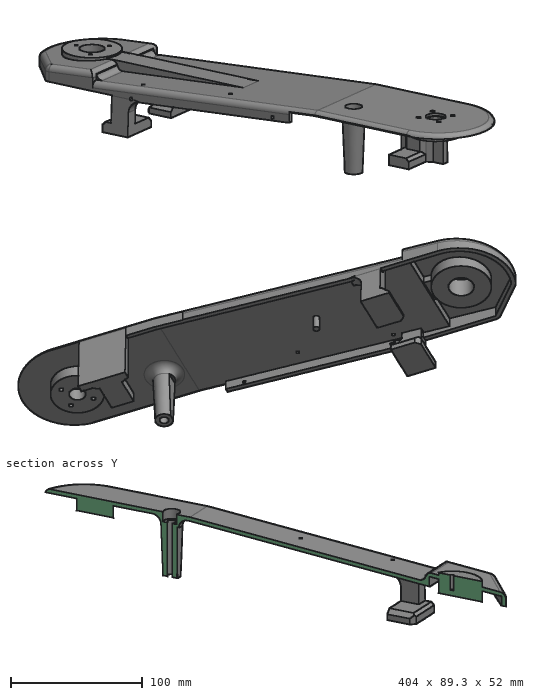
import cadquery as cq
import math

LENGTH = 404.0
HALF_WIDTH = 86.0 / 2
END_HALF_WIDTH = 85.2 / 2
NARROW_X = 253.5
TOP_Z = 52.0
SLOPE_END_X = 276.5
SLOPE = math.tan(math.radians(3.95))
EDGE_FILLET = 5.0
SHELL = 3.5
SKIRT_DEPTH = 11.7
DEEP = 80.8
MARGIN = 4.0

HUB_X = 41.5
HUB_RISE = 8.0
HUB_END_X = 72.0
HUB_BOTTOM_Z = 30.5
STEP_FILLET = 5.0
CORNER_X = 28.5
CORNER_Y = -13.7
CORNER_FILLET = 6.5
DISC_RADIUS = 45.5 / 2
DISC_TOP_Z = 47.3
HUB_BORE_RADIUS = 9.5
HUB_SCREW_CIRCLE = 14.5
HUB_SCREW_RADIUS = 1.2
HUB_SCREW_DEPTH = 12.0

STRAP_WIDTH = 20.0
STRAP_END_X = 188.0

BOSS_X = 358.7
BOSS_RADIUS = 41.0 / 2
BOSS_BOTTOM_Z = 38.8
BOSS_BORE_RADIUS = 12.5 / 2
BOSS_RECESS_RADIUS = 7.5
BOSS_RECESS_DEPTH = 2.0
BOSS_SCREW_OFFSET = 9.3
BOSS_SCREW_RADIUS = 1.5

POST_X = 293.5
POST_Y = -15.5
POST_TOP_RADIUS = 8.5
POST_BOTTOM_RADIUS = 7.0
POST_FLAT = 6.5
POST_FLARE = 7.0
POST_RECESS_RADIUS = 6.5
POST_RECESS_DEPTH = 8.0
POST_BORE_RADIUS = 3.45

LEG_OUTER_Y = 89.3 / 2
LEG_LEFT_X = 89.5
LEG_RIGHT_X = 105.5
LEG_INNER_Y = 34.5
LEG_FILLET = 10.0
FOOT_LEFT_X = 82.0
FOOT_HEIGHT = 8.5
FOOT_INNER_Y = 13.0
FOOT_END_CHAMFER = 3.5
FOOT_CHAMFER_MINUS_Y = 2.5
FOOT_CHAMFER_PLUS_Y = 7.0

WIDE_LEG_LEFT_X = 300.0
WIDE_LEG_RIGHT_X = 339.0
WIDE_LEG_INNER_Y = 32.5
WIDE_FOOT_LEFT_X = 306.5
WIDE_FOOT_RIGHT_X = 325.0
WIDE_FOOT_CHAMFER = 2.5
WIDE_LEG_BEVEL = 3.2
WIDE_FLANGE_X = 330.0
WIDE_FLANGE_Y = 38.5

PIN_X = 160.0
PIN_Y = 3.05
PIN_RADIUS = 2.5
PIN_BOTTOM_Z = 28.5
SMALL_HOLE_RADIUS = 1.2
TOP_HOLES = [(112.5, -34.0), (188.5, -28.0)]
SIDE_HOLES = [(107.5, 30.7), (238.0, 40.5)]

PLATE_BOTTOM_Z = TOP_Z - SHELL
FAR_OVERSHOOT = EDGE_FILLET - math.sqrt(EDGE_FILLET**2 - (EDGE_FILLET - SHELL) ** 2)
FAR_ARC_X = LENGTH + FAR_OVERSHOOT - HALF_WIDTH


def slope_z(x):
    """Height of the sloping top plane at x."""
    return TOP_Z - SLOPE * (SLOPE_END_X - x)


def hub_z(x):
    """Height of the hub top, parallel to the slope."""
    return slope_z(x) + HUB_RISE


def box(x0, x1, y0, y1, z0, z1):
    return cq.Workplane("XY").box(x1 - x0, y1 - y0, z1 - z0, centered=False).translate((x0, y0, z0))


def cylinder(x, y, radius, z0, z1):
    return cq.Workplane("XY", origin=(x, y, z0)).circle(radius).extrude(z1 - z0)


def side_prism(points, y0, y1):
    """Extrude an (x, z) polygon from y0 to y1."""
    return cq.Workplane("XZ", origin=(0, y0, 0)).polyline(points).close().extrude(y0 - y1)


def outline(inset=0.0):
    """Tall prism with the plan outline of the arm, shrunk by the inset."""
    corner_end_x = HALF_WIDTH - math.sqrt(HALF_WIDTH**2 - CORNER_Y**2)
    plan = (
        cq.Workplane("XY")
        .moveTo(CORNER_X, -HALF_WIDTH)
        .lineTo(FAR_ARC_X, -HALF_WIDTH)
        .threePointArc((FAR_ARC_X + HALF_WIDTH, 0), (FAR_ARC_X, HALF_WIDTH))
        .lineTo(HALF_WIDTH, HALF_WIDTH)
        .threePointArc((0, 0), (corner_end_x, CORNER_Y))
        .close()
    )
    if inset:
        return plan.offset2D(-inset).extrude(DEEP)
    box_low = (-MARGIN, -HALF_WIDTH - MARGIN, 0)
    box_high = (CORNER_X + MARGIN, CORNER_Y + MARGIN, DEEP)
    cut_corner = cq.selectors.BoxSelector(box_low, box_high)
    return plan.extrude(DEEP).edges("|Z").edges(cut_corner).fillet(CORNER_FILLET)


def arm_solid():
    """Raised hub, slope and flat end with rounded upper edges, solid down to Z = 0."""
    plan = outline()
    hub_section = [(-MARGIN, 0), (HUB_END_X, 0), (HUB_END_X, hub_z(HUB_END_X)), (-MARGIN, hub_z(-MARGIN))]
    hub = side_prism(hub_section, -DEEP, DEEP).intersect(plan)
    hub = hub.faces(">Z").edges().fillet(EDGE_FILLET)

    start_x = HUB_END_X - SHELL - EDGE_FILLET
    arm_section = [
        (start_x, 0),
        (LENGTH + MARGIN, 0),
        (LENGTH + MARGIN, TOP_Z),
        (SLOPE_END_X, TOP_Z),
        (start_x, slope_z(start_x)),
    ]
    arm = side_prism(arm_section, -DEEP, DEEP).intersect(plan)
    box_low = (start_x + MARGIN, -DEEP, HUB_BOTTOM_Z)
    box_high = (LENGTH + MARGIN, DEEP, TOP_Z + MARGIN)
    rim = cq.selectors.BoxSelector(box_low, box_high)
    arm = arm.edges(rim).edges("not |Y").fillet(EDGE_FILLET)

    trim = box(NARROW_X, LENGTH + MARGIN, END_HALF_WIDTH, DEEP, -MARGIN, DEEP)
    arm = arm.cut(trim).cut(trim.mirror("XZ"))

    foot_z = slope_z(HUB_END_X)
    valley = (
        cq.Workplane("XZ", origin=(0, END_HALF_WIDTH - EDGE_FILLET, 0))
        .moveTo(HUB_END_X - SHELL / 2, foot_z - SHELL / 2)
        .lineTo(HUB_END_X, foot_z + STEP_FILLET)
        .radiusArc((HUB_END_X + STEP_FILLET, slope_z(HUB_END_X + STEP_FILLET)), -STEP_FILLET)
        .close()
        .extrude(2 * (END_HALF_WIDTH - EDGE_FILLET))
    )
    return hub.union(arm).union(valley)


def below_skirt():
    """Space under the lower edge of the skirt and under the plain far end."""
    section = [
        (-MARGIN, -MARGIN),
        (-MARGIN, HUB_BOTTOM_Z),
        (LEG_RIGHT_X, HUB_BOTTOM_Z),
        (LEG_RIGHT_X, slope_z(LEG_RIGHT_X) - SKIRT_DEPTH),
        (SLOPE_END_X, TOP_Z - SKIRT_DEPTH),
        (WIDE_LEG_RIGHT_X, TOP_Z - SKIRT_DEPTH),
        (WIDE_LEG_RIGHT_X, PLATE_BOTTOM_Z),
        (LENGTH + MARGIN, PLATE_BOTTOM_Z),
        (LENGTH + MARGIN, -MARGIN),
    ]
    return side_prism(section, -DEEP, DEEP)


def cavity():
    """Hollow underside that leaves the top plate and the skirt walls."""
    inner_x = HUB_END_X - SHELL
    section = [
        (-MARGIN, -MARGIN),
        (-MARGIN, hub_z(-MARGIN) - SHELL),
        (inner_x, hub_z(inner_x) - SHELL),
        (inner_x, slope_z(inner_x) - SHELL),
        (SLOPE_END_X, PLATE_BOTTOM_Z),
        (LENGTH + MARGIN, PLATE_BOTTOM_Z),
        (LENGTH + MARGIN, -MARGIN),
    ]
    hollow = side_prism(section, -DEEP, DEEP)
    open_side = hollow.intersect(box(NARROW_X, LENGTH + MARGIN, -DEEP, 0, -MARGIN, DEEP))
    return hollow.intersect(outline(SHELL)).union(open_side)


def raised_details():
    """Hub disc, flat strap, far boss, screw post and underside pin."""
    disc = cylinder(HUB_X, 0, DISC_RADIUS, HUB_BOTTOM_Z, DISC_TOP_Z)
    strap_z = slope_z(STRAP_END_X)
    start_x = HUB_X + DISC_RADIUS / 2
    strap_section = [(start_x, strap_z), (STRAP_END_X, strap_z), (start_x, slope_z(start_x) - SHELL / 2)]
    strap = side_prism(strap_section, -STRAP_WIDTH / 2, STRAP_WIDTH / 2)
    boss = cylinder(BOSS_X, 0, BOSS_RADIUS, BOSS_BOTTOM_Z, TOP_Z)
    flare_z = PLATE_BOTTOM_Z - POST_FLARE
    post = (
        cq.Workplane("XZ", origin=(POST_X, POST_Y, 0))
        .lineTo(POST_BOTTOM_RADIUS, 0)
        .lineTo(POST_TOP_RADIUS, flare_z)
        .radiusArc((POST_TOP_RADIUS + POST_FLARE, PLATE_BOTTOM_Z), POST_FLARE)
        .lineTo(0, PLATE_BOTTOM_Z)
        .close()
        .revolve(360, (0, 0, 0), (0, 1, 0))
    )
    flat_x = POST_X - POST_FLAT
    post = post.cut(box(flat_x - POST_FLARE, flat_x, -DEEP, DEEP, -MARGIN, flare_z))
    pin = cylinder(PIN_X, PIN_Y, PIN_RADIUS, PIN_BOTTOM_Z, slope_z(PIN_X) - SHELL / 2)
    return disc.union(strap).union(boss).union(post).union(pin)


def outside_draft(flush_y, flush_z):
    """Tool that trims the outer face of a +Y leg so that it leans in to flush_y at flush_z."""
    section = [(LEG_OUTER_Y, 0), (flush_y, flush_z), (flush_y, DEEP), (DEEP, DEEP), (DEEP, 0)]
    return cq.Workplane("YZ").polyline(section).close().extrude(LENGTH)


def slim_leg(toe_chamfer):
    """Hooked leg on the +Y side under the start of the slope."""
    top_z = slope_z(LEG_LEFT_X) - SHELL / 2
    skirt_z = slope_z(LEG_RIGHT_X) - SKIRT_DEPTH
    root = box(LEG_LEFT_X, LEG_RIGHT_X, LEG_INNER_Y, HALF_WIDTH - EDGE_FILLET, 0, top_z)
    leg = box(LEG_LEFT_X, LEG_RIGHT_X, LEG_INNER_Y, LEG_OUTER_Y, 0, HUB_BOTTOM_Z)
    foot_plan = [
        (FOOT_LEFT_X, LEG_OUTER_Y),
        (FOOT_LEFT_X, FOOT_INNER_Y + FOOT_END_CHAMFER),
        (FOOT_LEFT_X + FOOT_END_CHAMFER, FOOT_INNER_Y),
        (LEG_RIGHT_X, FOOT_INNER_Y),
        (LEG_RIGHT_X, LEG_OUTER_Y),
    ]
    foot = cq.Workplane("XY").polyline(foot_plan).close().extrude(FOOT_HEIGHT)
    foot = foot.edges("<X and >Z").chamfer(toe_chamfer)
    foot = foot.edges("<Y and >Z").chamfer(FOOT_END_CHAMFER)
    gusset = (
        cq.Workplane("XZ", origin=(LEG_RIGHT_X, LEG_INNER_Y, skirt_z))
        .moveTo(-SHELL, -LEG_FILLET)
        .lineTo(0, -LEG_FILLET)
        .radiusArc((LEG_FILLET, SLOPE * LEG_FILLET), LEG_FILLET)
        .lineTo(-SHELL, SHELL)
        .close()
        .extrude(LEG_INNER_Y - LEG_OUTER_Y)
    )
    return root.union(leg).union(foot).union(gusset).cut(outside_draft(HALF_WIDTH, HUB_BOTTOM_Z))


def wide_leg():
    """Single wide leg on the +Y side with a stepped inner face and a hooked foot."""
    right_half = [
        (WIDE_FOOT_RIGHT_X - WIDE_LEG_BEVEL, WIDE_LEG_INNER_Y),
        (WIDE_FOOT_RIGHT_X, WIDE_LEG_INNER_Y + WIDE_LEG_BEVEL),
        (WIDE_FLANGE_X, WIDE_FLANGE_Y),
        (WIDE_LEG_RIGHT_X, WIDE_FLANGE_Y),
        (WIDE_LEG_RIGHT_X, LEG_OUTER_Y),
    ]
    left_half = [
        (WIDE_LEG_LEFT_X, LEG_OUTER_Y),
        (WIDE_LEG_LEFT_X, WIDE_FLANGE_Y),
        (WIDE_FOOT_LEFT_X, WIDE_LEG_INNER_Y + WIDE_LEG_BEVEL),
        (WIDE_FOOT_LEFT_X + WIDE_LEG_BEVEL, WIDE_LEG_INNER_Y),
    ]
    leg = cq.Workplane("XY").polyline(left_half + right_half).close().extrude(PLATE_BOTTOM_Z)
    foot = box(WIDE_FOOT_LEFT_X, WIDE_FOOT_RIGHT_X, FOOT_INNER_Y, LEG_OUTER_Y, 0, FOOT_HEIGHT)
    foot = foot.edges(">Z and >X").chamfer(WIDE_FOOT_CHAMFER)
    return leg.union(foot).cut(outside_draft(END_HALF_WIDTH, PLATE_BOTTOM_Z))


def holes():
    """Every bore and screw hole."""
    cuts = cylinder(HUB_X, 0, HUB_BORE_RADIUS, 0, DEEP)
    for angle in (60, 180, 300):
        x = HUB_X + HUB_SCREW_CIRCLE * math.cos(math.radians(angle))
        y = HUB_SCREW_CIRCLE * math.sin(math.radians(angle))
        cuts = cuts.union(cylinder(x, y, HUB_SCREW_RADIUS, DISC_TOP_Z - HUB_SCREW_DEPTH, DEEP))

    cuts = cuts.union(cylinder(BOSS_X, 0, BOSS_BORE_RADIUS, 0, DEEP))
    cuts = cuts.union(cylinder(BOSS_X, 0, BOSS_RECESS_RADIUS, TOP_Z - BOSS_RECESS_DEPTH, DEEP))
    for dx in (-BOSS_SCREW_OFFSET, BOSS_SCREW_OFFSET):
        for dy in (-BOSS_SCREW_OFFSET, BOSS_SCREW_OFFSET):
            cuts = cuts.union(cylinder(BOSS_X + dx, dy, BOSS_SCREW_RADIUS, 0, DEEP))

    cuts = cuts.union(cylinder(POST_X, POST_Y, POST_BORE_RADIUS, -MARGIN, DEEP))
    cuts = cuts.union(cylinder(POST_X, POST_Y, POST_RECESS_RADIUS, TOP_Z - POST_RECESS_DEPTH, DEEP))

    for x, y in TOP_HOLES:
        cuts = cuts.union(cylinder(x, y, SMALL_HOLE_RADIUS, HUB_BOTTOM_Z, DEEP))
    for x, z in SIDE_HOLES:
        cuts = cuts.union(cq.Workplane("XZ", origin=(x, 0, z)).circle(SMALL_HOLE_RADIUS).extrude(DEEP))
    return cuts


body = arm_solid().cut(below_skirt()).cut(cavity())
result = body.union(raised_details())
result = result.union(slim_leg(FOOT_CHAMFER_PLUS_Y)).union(slim_leg(FOOT_CHAMFER_MINUS_Y).mirror("XZ"))
result = result.union(wide_leg()).cut(holes())